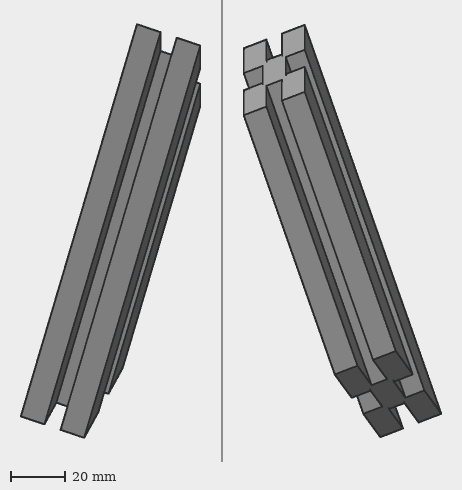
import cadquery as cq
import math

length = 107.8
bar_width = 25.4
slot_width = 6.5
slot_depth = 7.9

slope_stretch = math.sqrt(2)
half_length = length / 2


def sloping_band(top_drop, bottom_drop, width):
    """Bar between two 45 degree planes, each given by its depth below the upper face."""
    top = top_drop * slope_stretch
    bottom = bottom_drop * slope_stretch
    outline = [
        (half_length, half_length - top),
        (half_length, half_length - bottom),
        (-half_length + bottom, -half_length),
        (-half_length + top, -half_length),
    ]
    return cq.Workplane("YZ").polyline(outline).close().extrude(width / 2, both=True)


bar = sloping_band(0, bar_width, bar_width)

upper_slot = sloping_band(0, slot_depth, slot_width)
lower_slot = sloping_band(bar_width - slot_depth, bar_width, slot_width)

side_slot_top = (bar_width - slot_width) / 2
side_slot_bottom = side_slot_top + slot_width
side_slots = sloping_band(side_slot_top, side_slot_bottom, bar_width)
core_width = bar_width - 2 * slot_depth
side_slots = side_slots.cut(sloping_band(side_slot_top, side_slot_bottom, core_width))

result = bar.cut(upper_slot).cut(lower_slot).cut(side_slots)